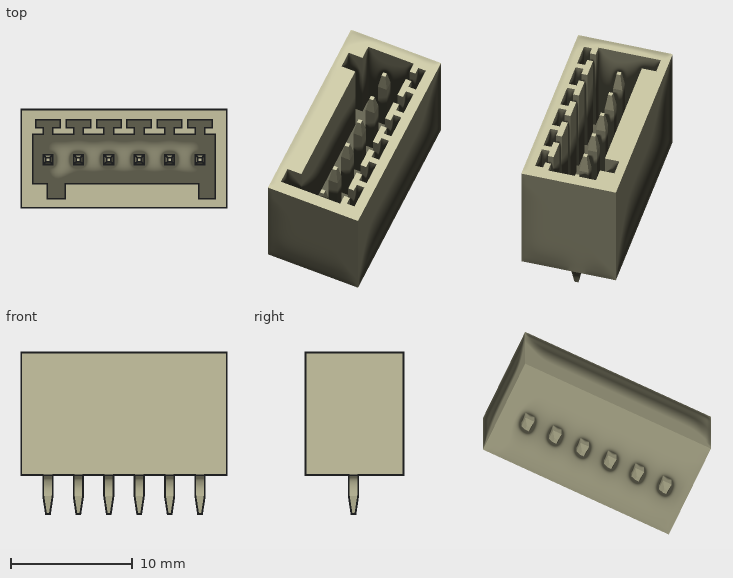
import cadquery as cq

LENGTH = 16.9
DEPTH = 8.1
HEIGHT = 10.1
FLOOR = 2.0
END_WALL = 0.96

NOTCH_FRONT = 0.75
CAVITY_FRONT = 1.98
CAVITY_BACK = 6.07
LIP_BACK = 6.57
SLOT_BACK = 7.25

SLOT_WIDTH = 2.01
NECK_WIDTH = 0.8

LEFT_NOTCH_START = 2.15
LEFT_NOTCH_WIDTH = 1.45
RIGHT_NOTCH_WIDTH = 1.35

PIN_COUNT = 6
PITCH = 2.5
PIN_WIDTH = 0.8
TIP_WIDTH = 0.34
POINT_LENGTH = 1.5
PIN_BELOW = 3.2
TIP_BELOW_RIM = 1.22
PIN_Y = -0.08

LEFT = -LENGTH / 2
FRONT = -DEPTH / 2
CAVITY_LEFT = LEFT + END_WALL
CAVITY_RIGHT = -CAVITY_LEFT
PIN_TOP = HEIGHT - TIP_BELOW_RIM
SHANK_BOTTOM = POINT_LENGTH - PIN_BELOW
SHANK_TOP = PIN_TOP - POINT_LENGTH
PIN_POSITIONS = [(i - (PIN_COUNT - 1) / 2) * PITCH for i in range(PIN_COUNT)]


def upright_box(x_min, x_max, y_min, y_max, z_min, z_max):
    """Box given by its limits along the three axes."""
    size = (x_max - x_min, y_max - y_min, z_max - z_min)
    return cq.Workplane("XY").box(*size, centered=False).translate((x_min, y_min, z_min))


def pocket(x_min, x_max, front, back):
    """Cutter from the cavity floor to the rim; front and back are measured from the front face."""
    return upright_box(x_min, x_max, FRONT + front, FRONT + back, FLOOR, HEIGHT)


def pin_shank(x, z_min, z_max):
    """Straight square length of a pin, also the cutter for its hole."""
    half = PIN_WIDTH / 2
    return upright_box(x - half, x + half, PIN_Y - half, PIN_Y + half, z_min, z_max)


def pin_point(x, base_z, tip_z):
    """Square frustum narrowing from the shank to the flat tip."""
    return (
        cq.Workplane("XY", origin=(x, PIN_Y, base_z))
        .rect(PIN_WIDTH, PIN_WIDTH)
        .workplane(offset=tip_z - base_z)
        .rect(TIP_WIDTH, TIP_WIDTH)
        .loft(ruled=True)
    )


def make_pin(x):
    """Square pin pointed at the top and the bottom."""
    shank = pin_shank(x, SHANK_BOTTOM, SHANK_TOP)
    upper_point = pin_point(x, SHANK_TOP, PIN_TOP)
    lower_point = pin_point(x, SHANK_BOTTOM, -PIN_BELOW)
    return shank.union(upper_point).union(lower_point)


def t_slot(x):
    """T-shaped slot: a narrow neck open to the cavity and a wide groove behind it."""
    neck = pocket(x - NECK_WIDTH / 2, x + NECK_WIDTH / 2, CAVITY_BACK, LIP_BACK)
    groove = pocket(x - SLOT_WIDTH / 2, x + SLOT_WIDTH / 2, LIP_BACK, SLOT_BACK)
    return neck.union(groove)


def make_housing(fixed_pin_x, loose_pin_positions):
    """Open-topped housing, in one piece with one pin and with holes for the others."""
    body = upright_box(LEFT, -LEFT, FRONT, -FRONT, 0, HEIGHT)

    body = body.cut(pocket(CAVITY_LEFT, CAVITY_RIGHT, CAVITY_FRONT, CAVITY_BACK))

    notch_left = LEFT + LEFT_NOTCH_START
    body = body.cut(pocket(notch_left, notch_left + LEFT_NOTCH_WIDTH, NOTCH_FRONT, CAVITY_FRONT))
    body = body.cut(pocket(CAVITY_RIGHT - RIGHT_NOTCH_WIDTH, CAVITY_RIGHT, NOTCH_FRONT, CAVITY_FRONT))

    for x in PIN_POSITIONS:
        body = body.cut(t_slot(x))

    for x in loose_pin_positions:
        body = body.cut(pin_shank(x, 0, FLOOR))

    return body.union(make_pin(fixed_pin_x))


fixed_pin_position, *loose_positions = PIN_POSITIONS
housing = make_housing(fixed_pin_position, loose_positions)
pins = [make_pin(x) for x in loose_positions]

result = cq.Compound.makeCompound([housing.val(), *[pin.val() for pin in pins]])